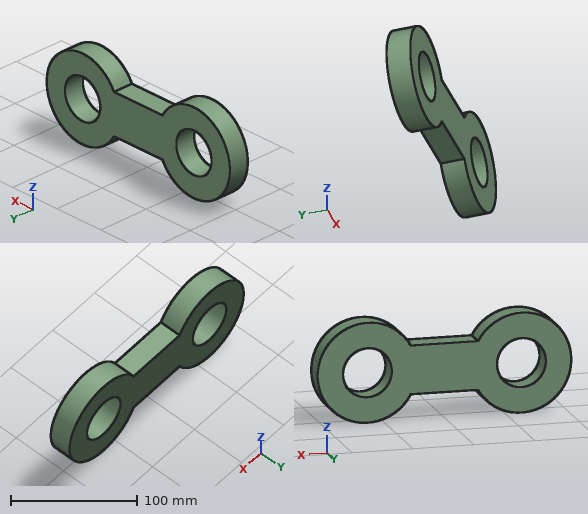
import cadquery as cq

length = 208.0
thickness = 20.0
eye_diameter = 81.7
hole_diameter = 40.0
bar_height = 40.0

eye_spacing = length - eye_diameter
eye_centers = [(-eye_spacing / 2, 0), (eye_spacing / 2, 0)]


def back_plane():
    """Plane of the back face, placed so that the link is centred on Y."""
    return cq.Workplane("XZ", origin=(0, thickness / 2, 0))


def make_discs(diameter):
    """Full-thickness discs of the given diameter at both eye centres."""
    return back_plane().pushPoints(eye_centers).circle(diameter / 2).extrude(thickness)


bar = back_plane().rect(eye_spacing, bar_height).extrude(thickness)

result = bar.union(make_discs(eye_diameter)).cut(make_discs(hole_diameter))